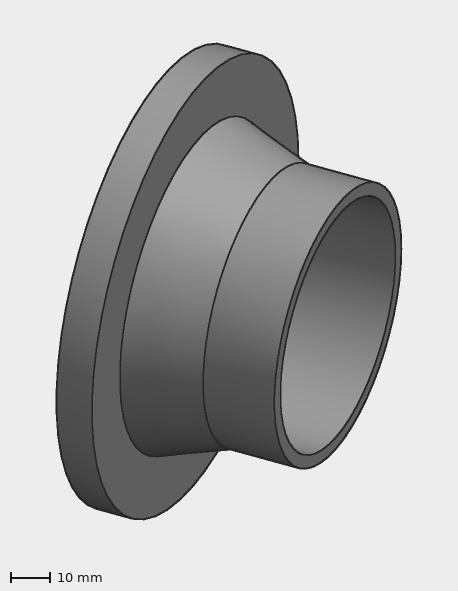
import cadquery as cq

flange_diameter = 122.0
bore_diameter = 67.8
pipe_diameter = 75.0
neck_base_diameter = 89.0
flange_thickness = 10.0
neck_end = 30.0
total_length = 50.0

flange_radius = flange_diameter / 2
bore_radius = bore_diameter / 2
pipe_radius = pipe_diameter / 2
neck_base_radius = neck_base_diameter / 2

half_section = (
    cq.Workplane("XY")
    .moveTo(0, bore_radius)
    .lineTo(0, flange_radius)
    .lineTo(flange_thickness, flange_radius)
    .lineTo(flange_thickness, neck_base_radius)
    .lineTo(neck_end, pipe_radius)
    .lineTo(total_length, pipe_radius)
    .lineTo(total_length, bore_radius)
    .close()
)

result = half_section.revolve(360, (0, 0, 0), (1, 0, 0))